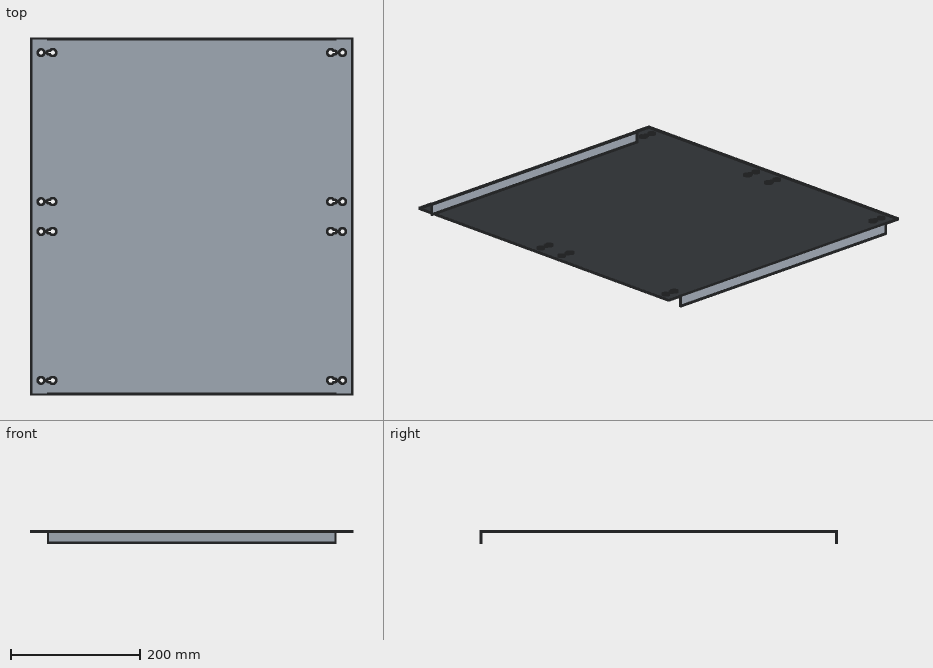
import cadquery as cq

panel_width = 497.5
panel_length = 551.5
panel_height = 18.0
sheet = 1.5

flange_width = 445.0
bend_outer_radius = sheet

edge_to_round_hole = 15.5
edge_to_keyhole = 33.5
keyhole_slot_length = 6.5
round_hole_diameter = 10.0
keyhole_diameter = 10.5
keyhole_slot_width = 5.0
outer_row_y = 253.5
inner_row_y = 23.0
row_positions = (-outer_row_y, -inner_row_y, inner_row_y, outer_row_y)


def flat_panel():
    """Flat sheet with its top face at Z = 0, relieved beside the bends."""
    flat_length = panel_length - 2 * bend_outer_radius
    middle = cq.Workplane("XY").box(panel_width, flat_length, sheet, centered=(True, True, False))
    tab_width = (panel_width - flange_width) / 2
    tabs = (
        cq.Workplane("XY")
        .pushPoints([(side * (panel_width - tab_width) / 2, 0) for side in (-1, 1)])
        .rect(tab_width, panel_length)
        .extrude(sheet)
    )
    return middle.union(tabs).translate((0, 0, -sheet))


def folded_channel():
    """Panel strip with bends rounded on the outside and a flange at each end."""
    outer = (
        cq.Workplane("XY")
        .box(flange_width, panel_length, panel_height, centered=(True, True, False))
        .translate((0, 0, -panel_height))
        .edges("|X and >Z")
        .fillet(bend_outer_radius)
    )
    inner = (
        cq.Workplane("XY")
        .box(flange_width, panel_length - 2 * sheet, panel_height - sheet, centered=(True, True, False))
        .translate((0, 0, -panel_height))
    )
    return outer.cut(inner)


def mounting_holes(side, y):
    """Round hole and keyhole; the keyhole slot points to the panel side edge."""
    round_x = side * (panel_width / 2 - edge_to_round_hole)
    keyhole_x = side * (panel_width / 2 - edge_to_keyhole)
    slot_x = keyhole_x + side * keyhole_slot_length / 2
    base = cq.Workplane("XY").workplane(offset=-sheet)
    round_hole = base.center(round_x, y).circle(round_hole_diameter / 2).extrude(sheet)
    keyhole = base.center(keyhole_x, y).circle(keyhole_diameter / 2).extrude(sheet)
    slot = (
        base.center(slot_x, y)
        .slot2D(keyhole_slot_length + keyhole_slot_width, keyhole_slot_width)
        .extrude(sheet)
    )
    return round_hole.union(keyhole.union(slot))


result = flat_panel().union(folded_channel())
for side in (-1, 1):
    for row_y in row_positions:
        result = result.cut(mounting_holes(side, row_y))